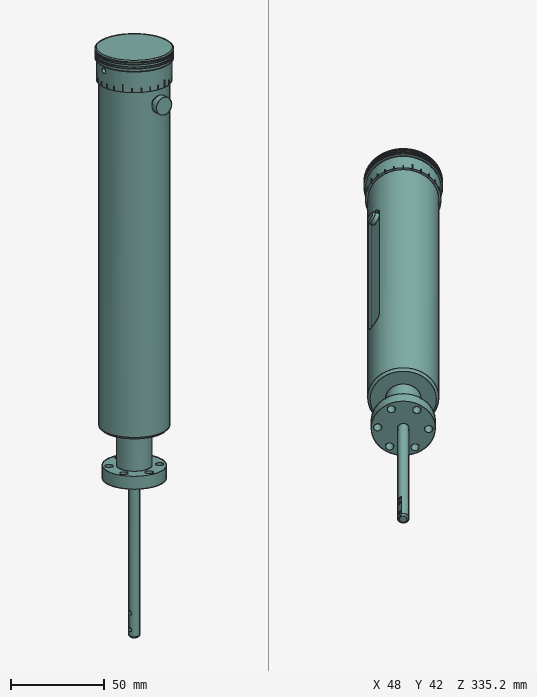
import cadquery as cq

total_height = 335.2
cap_bottom = 329.2
collar_bottom = 316.8
tube_bottom = 119.0
neck_bottom = 97.5
flange_bottom = 90.2

cap_diameter = 42.0
collar_diameter = 40.2
tube_diameter = 38.0
neck_diameter = 19.0
flange_diameter = 34.2
rod_diameter = 6.0
cap_chamfer = 0.7
collar_chamfer = 0.7
tube_chamfer = 1.5
rod_chamfer = 1.0

cap_groove_width = 1.0
cap_groove_depth = 0.5
cap_groove_floors = (330.5, 333.0)

graduation_count = 25
graduations_per_long = 5
graduation_width = 0.4
graduation_depth = 0.5
short_graduation = 2.5
long_graduation = 4.0
first_graduation_angle = -54.0

screw_hole_diameter = 3.0
screw_hole_depth = 2.0
screw_hole_height = 326.2

knob_height = 309.7
knob_reach = 6.0
knob_tip = cap_diameter / 2 + knob_reach
knob_thickness = 4.0
knob_diameter = 10.0
stem_diameter = 4.0

slot_width = 10.0
slot_depth = 1.7
slot_top = 282.5
slot_bottom = 181.5
button_diameter = 7.0
button_reach = 20.8
button_chamfer = 1.0

bolt_count = 6
bolt_circle_diameter = 27.0
bolt_hole_diameter = 4.5

cross_hole_diameter = 2.5
cross_hole_heights = (4.7, 14.0)
flat_depth = 0.7
flat_length = 18.0

root_depth = 3.5
clearance = 3.5


def cylinder(diameter, bottom, top):
    """Upright cylinder on the main axis."""
    return cq.Workplane("XY").workplane(offset=bottom).circle(diameter / 2).extrude(top - bottom)


def cylinder_along_x(diameter, start, end, height):
    plane = cq.Workplane("YZ").workplane(offset=start).center(0, height)
    return plane.circle(diameter / 2).extrude(end - start)


def cylinder_along_y(diameter, start, end, height):
    plane = cq.Workplane("XZ").workplane(offset=-start).center(0, height)
    return plane.circle(diameter / 2).extrude(start - end)


def cap():
    body = cylinder(cap_diameter, cap_bottom, total_height).faces(">Z").chamfer(cap_chamfer)
    for low in cap_groove_floors:
        high = low + cap_groove_width
        core = cylinder(cap_diameter - 2 * cap_groove_depth, low, high)
        body = body.cut(cylinder(cap_diameter + clearance, low, high).cut(core))
    return body


def graduation(index):
    """Engraving cutter for one mark; every fifth mark is long."""
    is_long = index % graduations_per_long == 0
    length = long_graduation if is_long else short_graduation
    mark = cq.Workplane("XY").box(
        2 * graduation_depth, graduation_width, length, centered=(True, True, False)
    )
    mark = mark.translate((collar_diameter / 2, 0, collar_bottom))
    angle = first_graduation_angle + index * 360 / graduation_count
    return mark.rotate((0, 0, 0), (0, 0, 1), angle)


def collar():
    body = cylinder(collar_diameter, collar_bottom, cap_bottom).faces(">Z").chamfer(collar_chamfer)
    for index in range(graduation_count):
        body = body.cut(graduation(index))
    surface = -collar_diameter / 2
    screw_hole = cylinder_along_y(
        screw_hole_diameter, surface - clearance, surface + screw_hole_depth, screw_hole_height
    )
    return body.cut(screw_hole)


def tube():
    body = cylinder(tube_diameter, tube_bottom, collar_bottom).faces("<Z").chamfer(tube_chamfer)
    slot = (
        cq.Workplane("XZ")
        .workplane(offset=-tube_diameter / 2 - clearance)
        .center(0, (slot_top + slot_bottom) / 2)
        .slot2D(slot_top - slot_bottom + slot_width, slot_width, 90)
        .extrude(clearance + slot_depth)
    )
    return body.cut(slot)


def button():
    root = tube_diameter / 2 - root_depth
    body = cylinder_along_y(button_diameter, root, button_reach, slot_top)
    return body.faces(">Y").chamfer(button_chamfer)


def thumb_screw():
    stem = cylinder_along_x(stem_diameter, tube_diameter / 2 - root_depth, knob_tip, knob_height)
    knob = cylinder_along_x(knob_diameter, knob_tip - knob_thickness, knob_tip, knob_height)
    return stem.union(knob)


def neck():
    return cylinder(neck_diameter, neck_bottom, tube_bottom)


def flange():
    return (
        cylinder(flange_diameter, flange_bottom, neck_bottom)
        .faces(">Z")
        .workplane()
        .polarArray(bolt_circle_diameter / 2, 0, 360, bolt_count)
        .hole(bolt_hole_diameter)
    )


def rod():
    body = cylinder(rod_diameter, 0, flange_bottom).faces("<Z").chamfer(rod_chamfer)
    for height in cross_hole_heights:
        body = body.cut(cylinder_along_y(cross_hole_diameter, -rod_diameter, rod_diameter, height))
    flat = cq.Workplane("XY").box(rod_diameter, rod_diameter, flat_length, centered=(True, False, False))
    return body.cut(flat.translate((0, rod_diameter / 2 - flat_depth, 0)))


result = cap()
for section in (collar(), tube(), button(), thumb_screw(), neck(), flange(), rod()):
    result = result.union(section)